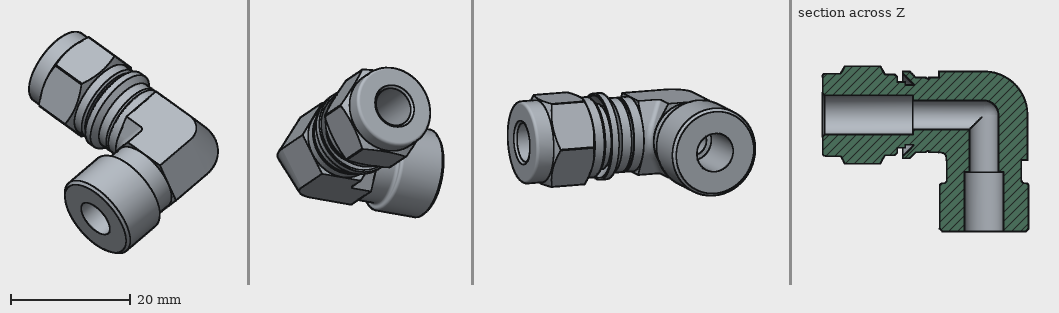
import cadquery as cq
import math


HEX_SIDES = 6
HEX_HALF_ANGLE = math.pi / HEX_SIDES
FULL_TURN = 360

BODY_FLATS = 12.7
BODY_INRADIUS = BODY_FLATS / 2
BODY_CORNER = BODY_INRADIUS / math.cos(HEX_HALF_ANGLE)
BODY_REACH = 7.58
CROTCH_FILLET = 0.8
BEND_ANGLE = FULL_TURN / 4
MITRE_TOLERANCE = 1e-4

INLET_REACH = 27.14
NUT_COLLAR_DIAMETER = 13.9
NUT_COLLAR_FILLET = 0.5
NUT_SKIRT_DIAMETER = 13.6
NUT_SKIRT_CHAMFER = 0.4
NUT_END = 14.55
HEX_FLATS = 14.29
HEX_CORNERS = HEX_FLATS / math.cos(HEX_HALF_ANGLE)
HEX_TURNED_DIAMETER = 16.4
HEX_OUTER_END = 24.1
HEX_INNER_END = 16.6
HEX_CHAMFER_SLOPE = math.tan(math.radians(30))

STEM_DIAMETER = 12.6
NECK_DIAMETER = 11.11
NECK_END = 13.2
FLANGE_DIAMETER = 14.6
FLANGE_OUTER_END = 13.65
FLANGE_RIM_END = 12.47
FLANGE_RECESS_DIAMETER = 13.9
RECESS_ROOT_DIAMETER = 10.1
GROOVE_START = 9.8
GROOVE_WIDTH = 0.5
GROOVE_DEPTH = 0.3

OUTLET_REACH = 19.6
OUTLET_DIAMETER = 15
OUTLET_CHAMFER = 0.5
SHOULDER_REACH = 11.45
SHOULDER_FILLET = 0.5

FLOW_DIAMETER = 4.83
SOCKET_DIAMETER = 6.55
SOCKET_DEPTH = 15.2
SOCKET_CHAMFER = 0.42
OUTLET_SOCKET_DEPTH = 10


def inlet_rod(diameter, near, far):
    """Cylinder on the inlet axis between two distances from the elbow."""
    return cq.Workplane("YZ", origin=(-far, 0, 0)).circle(diameter / 2).extrude(far - near)


def outlet_rod(diameter, near, far):
    """Cylinder on the outlet axis between two distances from the elbow."""
    return cq.Workplane("XZ", origin=(0, -near, 0)).circle(diameter / 2).extrude(far - near)


def body_profile(plane):
    """Hexagonal leg section whose inner corner is rounded tangent to the flats."""
    flat_end = BODY_CORNER / 2
    tangent_across = BODY_INRADIUS * math.cos(HEX_HALF_ANGLE)
    tangent_height = BODY_INRADIUS * math.sin(HEX_HALF_ANGLE)
    return (
        cq.Workplane(plane)
        .moveTo(BODY_CORNER, 0)
        .lineTo(flat_end, BODY_INRADIUS)
        .lineTo(-flat_end, BODY_INRADIUS)
        .lineTo(-tangent_across, tangent_height)
        .threePointArc((-BODY_INRADIUS, 0), (-tangent_across, -tangent_height))
        .lineTo(-flat_end, -BODY_INRADIUS)
        .lineTo(flat_end, -BODY_INRADIUS)
        .close()
    )


def on_mitre(edge):
    """True for an edge whose ends both lie on the mitre plane X = Y."""
    ends = (edge.startPoint(), edge.endPoint())
    return all(abs(end.x - end.y) < MITRE_TOLERANCE for end in ends)


def elbow_body():
    """Two legs meeting in a mitre on the inside and turned about Z on the outside."""
    inlet_leg = body_profile("YZ").extrude(-BODY_REACH)
    outlet_leg = body_profile("XZ").extrude(BODY_REACH)
    bend = (
        cq.Workplane("XZ")
        .moveTo(0, -BODY_INRADIUS)
        .lineTo(BODY_CORNER / 2, -BODY_INRADIUS)
        .lineTo(BODY_CORNER, 0)
        .lineTo(BODY_CORNER / 2, BODY_INRADIUS)
        .lineTo(0, BODY_INRADIUS)
        .close()
        .revolve(BEND_ANGLE, (0, 0), (0, 1))
    )
    body = inlet_leg.union(outlet_leg).union(bend)
    crotch = cq.selectors.BoxSelector(
        (-BODY_REACH, -BODY_REACH, -BODY_INRADIUS),
        (-BODY_CORNER / 2, -BODY_CORNER / 2, BODY_INRADIUS),
    )
    return body.edges(crotch).filter(on_mitre).fillet(CROTCH_FILLET)


def inlet_stem():
    """Turned stem with a neck, a hollow-faced flange with a sloping back and a narrow groove."""
    stem_radius = STEM_DIAMETER / 2
    flange_radius = FLANGE_DIAMETER / 2
    recess_radius = FLANGE_RECESS_DIAMETER / 2
    root_radius = RECESS_ROOT_DIAMETER / 2
    recess_floor = FLANGE_OUTER_END - (recess_radius - root_radius)
    slope_end = FLANGE_RIM_END - (flange_radius - stem_radius)
    groove_end = GROOVE_START - GROOVE_WIDTH
    return (
        cq.Workplane("XY")
        .lineTo(-NUT_END, 0)
        .lineTo(-NUT_END, NECK_DIAMETER / 2)
        .lineTo(-NECK_END, NECK_DIAMETER / 2)
        .lineTo(-NECK_END, root_radius)
        .lineTo(-recess_floor, root_radius)
        .lineTo(-FLANGE_OUTER_END, recess_radius)
        .lineTo(-FLANGE_OUTER_END, flange_radius)
        .lineTo(-FLANGE_RIM_END, flange_radius)
        .lineTo(-slope_end, stem_radius)
        .lineTo(-GROOVE_START, stem_radius)
        .lineTo(-groove_end, stem_radius - GROOVE_DEPTH)
        .lineTo(-groove_end, stem_radius)
        .lineTo(0, stem_radius)
        .close()
        .revolve(FULL_TURN, (0, 0), (1, 0))
    )


def nut_hexagon():
    """Hexagon pointing along Y, its corners turned slightly blunt, with a cone at each end."""
    corner_radius = HEX_TURNED_DIAMETER / 2
    outer_radius = NUT_COLLAR_DIAMETER / 2
    inner_radius = NUT_SKIRT_DIAMETER / 2
    outer_cone = (corner_radius - outer_radius) * HEX_CHAMFER_SLOPE
    inner_cone = (corner_radius - inner_radius) * HEX_CHAMFER_SLOPE
    hexagon = (
        cq.Workplane("YZ", origin=(-HEX_OUTER_END, 0, 0))
        .polygon(HEX_SIDES, HEX_CORNERS)
        .extrude(HEX_OUTER_END - HEX_INNER_END)
    )
    envelope = (
        cq.Workplane("XY")
        .moveTo(-HEX_OUTER_END, 0)
        .lineTo(-HEX_OUTER_END, outer_radius)
        .lineTo(-HEX_OUTER_END + outer_cone, corner_radius)
        .lineTo(-HEX_INNER_END - inner_cone, corner_radius)
        .lineTo(-HEX_INNER_END, inner_radius)
        .lineTo(-HEX_INNER_END, 0)
        .close()
        .revolve(FULL_TURN, (0, 0), (1, 0))
    )
    return hexagon.intersect(envelope)


def nut():
    """Rounded collar, hexagon and chamfered skirt of the inlet nut."""
    hex_middle = (HEX_OUTER_END + HEX_INNER_END) / 2
    collar = inlet_rod(NUT_COLLAR_DIAMETER, hex_middle, INLET_REACH)
    collar = collar.faces("<X").edges().fillet(NUT_COLLAR_FILLET)
    skirt = inlet_rod(NUT_SKIRT_DIAMETER, NUT_END, hex_middle)
    skirt = skirt.faces(">X").edges().chamfer(NUT_SKIRT_CHAMFER)
    return nut_hexagon().union(collar).union(skirt)


def outlet_end():
    """Outlet neck and the larger end, with a shoulder that blends into both."""
    neck_radius = STEM_DIAMETER / 2
    end_radius = OUTLET_DIAMETER / 2
    return (
        cq.Workplane("XY")
        .lineTo(neck_radius, 0)
        .lineTo(neck_radius, -SHOULDER_REACH + SHOULDER_FILLET)
        .radiusArc((neck_radius + SHOULDER_FILLET, -SHOULDER_REACH), -SHOULDER_FILLET)
        .lineTo(end_radius - SHOULDER_FILLET, -SHOULDER_REACH)
        .radiusArc((end_radius, -SHOULDER_REACH - SHOULDER_FILLET), SHOULDER_FILLET)
        .lineTo(end_radius, -OUTLET_REACH + OUTLET_CHAMFER)
        .lineTo(end_radius - OUTLET_CHAMFER, -OUTLET_REACH)
        .lineTo(0, -OUTLET_REACH)
        .close()
        .revolve(FULL_TURN, (0, 0), (0, 1))
    )


def bores():
    """Flow passage turning on a ball at the elbow, with a wider socket at each end."""
    ball = cq.Workplane("XY").sphere(FLOW_DIAMETER / 2)
    inlet_flow = inlet_rod(FLOW_DIAMETER, 0, INLET_REACH)
    outlet_flow = outlet_rod(FLOW_DIAMETER, 0, OUTLET_REACH)
    inlet_socket = inlet_rod(SOCKET_DIAMETER, INLET_REACH - SOCKET_DEPTH, INLET_REACH)
    outlet_socket = outlet_rod(SOCKET_DIAMETER, OUTLET_REACH - OUTLET_SOCKET_DEPTH, OUTLET_REACH)
    return ball.union(inlet_flow).union(outlet_flow).union(inlet_socket).union(outlet_socket)


fitting = elbow_body().union(inlet_stem()).union(nut()).union(outlet_end()).cut(bores())
socket_mouth = cq.selectors.RadiusNthSelector(0)
result = fitting.faces("<X").edges(socket_mouth).chamfer(SOCKET_CHAMFER)